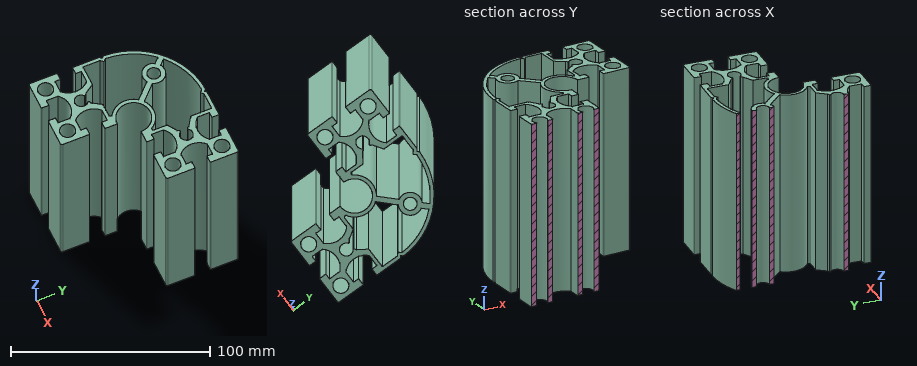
import cadquery as cq
import math

length = 100.0
block_side = 40.0
block_middle = block_side / 2
corner_round = 1.0

skin_thickness = 2.0
channel_radius = 9.0
channel_outer_radius = 11.0

slot_opening = 8.3
slot_lip = 4.1
slot_edge_round = 0.3
slot_width = 14.5
slot_depth = 13.8
slot_floor_radius = 9.7

slot_wall = 1.9
pocket_side = block_middle - slot_width / 2 - slot_wall
pocket_bottom = 5.6
pocket_corner_round = 0.6

corner_hole_diameter = 8.0
corner_hole_offset = 13.5
core_hole_diameter = 6.8

funnel_mouth = 13.0
lip_base_offset = 4.1
lip_base_gap = 6.4
throat_offset = 3.4
throat_width = 4.0

ring_diameter = 12.0
web_thickness = 3.0

groove_depth = 1.0
groove_half_width = 1.0
groove_rib_depth = 3.4
groove_rib_half_width = 3.6


def prism(points):
    """Full-length prism over a closed polygon."""
    return cq.Workplane("XY").polyline(points).close().extrude(length)


def box(x_min, x_max, y_min, y_max):
    """Full-length rectangular bar."""
    return prism([(x_min, y_min), (x_max, y_min), (x_max, y_max), (x_min, y_max)])


def cylinder(diameter, x=0.0, y=0.0):
    """Full-length round bar."""
    return cq.Workplane("XY").center(x, y).circle(diameter / 2).extrude(length)


def mirrored(shape):
    """Mirror image across the diagonal plane y = -x."""
    return shape.mirror("XZ").rotate((0, 0, 0), (0, 0, 1), -90)


def with_mirror(shape):
    """The shape together with its diagonal mirror image."""
    return shape.union(mirrored(shape))


def slot(angle):
    """T-slot of the block at (block_middle, block_middle), opening towards -Y before the turn by angle."""
    half_opening = slot_opening / 2
    half_mouth = half_opening + slot_edge_round
    half_width = slot_width / 2
    mouth_end_y = slot_edge_round - block_middle
    lip_y = slot_lip - block_middle
    floor_y = slot_depth - block_middle
    floor_rise = slot_floor_radius - math.sqrt(slot_floor_radius**2 - half_width**2)
    wall_end_y = floor_y - floor_rise
    return (
        cq.Workplane("XY")
        .moveTo(-half_mouth, -block_middle)
        .lineTo(half_mouth, -block_middle)
        .radiusArc((half_opening, mouth_end_y), slot_edge_round)
        .lineTo(half_opening, lip_y)
        .lineTo(half_width, lip_y)
        .lineTo(half_width, wall_end_y)
        .threePointArc((0, floor_y), (-half_width, wall_end_y))
        .lineTo(-half_width, lip_y)
        .lineTo(-half_opening, lip_y)
        .lineTo(-half_opening, mouth_end_y)
        .radiusArc((-half_mouth, -block_middle), slot_edge_round)
        .close()
        .extrude(length)
        .rotate((0, 0, 0), (0, 0, 1), angle)
        .translate((block_middle, block_middle, 0))
    )


def funnel():
    """Passage from the interior to the core hole of the block at (block_middle, block_middle)."""
    upper_side = [
        (pocket_side, funnel_mouth / 2),
        (block_middle - lip_base_offset, lip_base_gap / 2),
        (block_middle - throat_offset, throat_width / 2),
        (block_middle, throat_width / 2),
    ]
    points = [(x, block_middle + y) for x, y in upper_side]
    points += [(x, block_middle - y) for x, y in reversed(upper_side)]
    return prism(points)


def vee(half_width, depth):
    """V-shaped bar pointing inwards from the +Y face, at the end of the curved skin."""
    return prism([(-half_width, block_side), (half_width, block_side), (0, block_side - depth)])


block = box(0, block_side, 0, block_side).edges("|Z and >X").fillet(corner_round)
quarter_zone = box(-block_side, 0, 0, block_side)
quarter = cylinder(2 * block_side).intersect(quarter_zone)
outline = with_mirror(block).union(quarter).union(cylinder(2 * channel_outer_radius))

interior_outer_radius = block_side - skin_thickness
pocket = box(0, pocket_side, pocket_bottom, interior_outer_radius)
pocket = pocket.edges("|Z and >X and <Y").fillet(pocket_corner_round)
curved_room = cylinder(2 * interior_outer_radius).intersect(quarter_zone)
interior = with_mirror(pocket.union(funnel())).union(curved_room)

web = box(-block_side, 0, -web_thickness / 2, web_thickness / 2).rotate((0, 0, 0), (0, 0, 1), -45)
ring = cylinder(ring_diameter, -block_middle, block_middle)
groove_rib = vee(groove_rib_half_width, groove_rib_depth)
interior = (
    interior
    .cut(cylinder(2 * channel_outer_radius))
    .cut(web)
    .cut(ring)
    .cut(with_mirror(groove_rib))
)
body = outline.cut(interior)

body = body.cut(cylinder(2 * channel_radius)).cut(box(0, block_side, -block_side, 0))

for slot_angle in (0, 90, 180):
    body = body.cut(with_mirror(slot(slot_angle)))

for side in (-1, 1):
    corner_hole = cylinder(
        corner_hole_diameter,
        block_middle + corner_hole_offset,
        block_middle + side * corner_hole_offset,
    )
    body = body.cut(with_mirror(corner_hole))

core_hole = cylinder(core_hole_diameter, block_middle, block_middle)
ring_hole = cylinder(core_hole_diameter, -block_middle, block_middle)
body = body.cut(with_mirror(core_hole)).cut(ring_hole)

result = body.cut(with_mirror(vee(groove_half_width, groove_depth)))